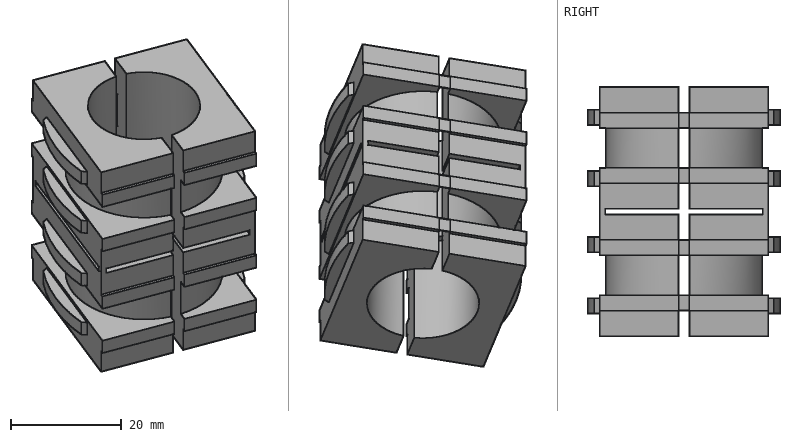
import cadquery as cq

height = 45.0
lip_span_x = 31.5
tab_span_y = 34.8

block_depth = 30.4
lip_reach = 0.6
block_width = lip_span_x - 2 * lip_reach
lip_height = 2.8

neck_diameter = 28.35
neck_length = 7.2
neck_centre_z = 11.48

bore_diameter = 20.25
slit_width = 2.0
hinge_thickness = 0.2

slot_height = 1.0
slot_width = neck_diameter

tab_base_width = 18.0
tab_crown_width = 16.85
tab_shoulder = 0.95
tab_height = 2.8
tab_inset = 0.55

block_edges = [
    (neck_side * neck_centre_z + into_block * neck_length / 2, into_block)
    for neck_side in (1, -1)
    for into_block in (1, -1)
]


def centred_box(size_x, size_y, size_z, z=0):
    return cq.Workplane("XY").box(size_x, size_y, size_z).translate((0, 0, z))


def neck_recess(z):
    """Square ring whose removal leaves a round neck."""
    surround = centred_box(lip_span_x, block_depth, neck_length, z)
    neck = cq.Workplane("XY").circle(neck_diameter / 2).extrude(neck_length)
    return surround.cut(neck.translate((0, 0, z - neck_length / 2)))


def lip(edge_z, into_block):
    """Plate flush with a block edge that stands out as a lip on both X faces."""
    return centred_box(lip_span_x, block_depth, lip_height, edge_z + into_block * lip_height / 2)


def tab_pair(edge_z, into_block):
    """Tabs with sloped ends and an arched crown, one on each Y face."""
    face_y = block_depth / 2
    shoulder_y = face_y + tab_shoulder
    centre_z = edge_z + into_block * (tab_inset + tab_height / 2)
    tab = (
        cq.Workplane("XY")
        .moveTo(-tab_base_width / 2, 0)
        .lineTo(-tab_base_width / 2, face_y)
        .lineTo(-tab_crown_width / 2, shoulder_y)
        .threePointArc((0, tab_span_y / 2), (tab_crown_width / 2, shoulder_y))
        .lineTo(tab_base_width / 2, face_y)
        .lineTo(tab_base_width / 2, 0)
        .close()
        .extrude(tab_height)
        .translate((0, 0, centre_z - tab_height / 2))
    )
    return tab.union(tab.mirror("XZ"))


body = centred_box(block_width, block_depth, height)
for edge_z, into_block in block_edges:
    body = body.union(lip(edge_z, into_block))
    body = body.union(tab_pair(edge_z, into_block))

for neck_side in (1, -1):
    body = body.cut(neck_recess(neck_side * neck_centre_z))

bore = cq.Workplane("XY").circle(bore_diameter / 2).extrude(height)
body = body.cut(bore.translate((0, 0, -height / 2)))

slit = centred_box(lip_span_x, slit_width, height).translate((hinge_thickness, 0, 0))
body = body.cut(slit)

body = body.cut(centred_box(slot_width, block_depth, slot_height))
body = body.cut(centred_box(block_width, slot_width, slot_height))

result = body